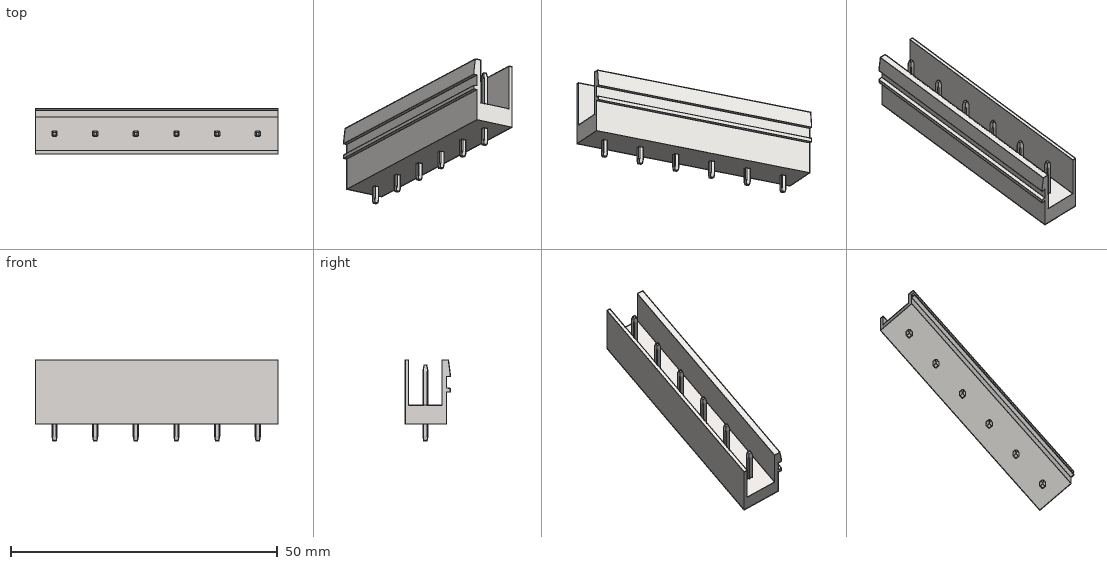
import cadquery as cq

LENGTH = 45.5
HEIGHT = 12.05
BODY_DEPTH = 7.8
FLOOR_HEIGHT = 3.55
FRONT_WALL = 0.7
REAR_WALL = 0.85
REAR_PROJECTION = 0.75

LATCH_HEIGHT = 3.15
LATCH_TOP_PROJECTION = 0.35
LATCH_SLOPE_HEIGHT = 2.8

LEDGE_BOTTOM = 6.0
LEDGE_THICKNESS = 0.7
LEDGE_SLOPE_RISE = 0.15

PIN_COUNT = 6
PIN_ROW_SPAN = 38.1
PIN_PITCH = PIN_ROW_SPAN / (PIN_COUNT - 1)
FIRST_PIN_X = 3.6
PIN_Y = 3.82
PIN_WIDTH = 1.0
PIN_EDGE_CHAMFER = 0.2
PIN_BOTTOM = -3.15
PIN_RECESS = 0.95
PIN_TOP = HEIGHT - PIN_RECESS
TOP_TAPER_LENGTH = 1.27
TOP_TIP_WIDTH = 0.5
BOTTOM_TAPER_LENGTH = 0.9
BOTTOM_TIP_WIDTH = 0.65


def make_pin(x):
    """One contact pin centred on X = x."""
    taper_start_low = PIN_BOTTOM + BOTTOM_TAPER_LENGTH
    taper_start_high = PIN_TOP - TOP_TAPER_LENGTH
    shank = (
        cq.Workplane("XY", origin=(x, PIN_Y, PIN_BOTTOM))
        .rect(PIN_WIDTH, PIN_WIDTH)
        .extrude(PIN_TOP - PIN_BOTTOM)
        .edges("|Z")
        .chamfer(PIN_EDGE_CHAMFER)
    )
    envelope = (
        cq.Workplane("XY", origin=(x, PIN_Y, taper_start_low))
        .rect(PIN_WIDTH, PIN_WIDTH)
        .extrude(taper_start_high - taper_start_low)
        .union(make_taper(x, taper_start_high, TOP_TAPER_LENGTH, TOP_TIP_WIDTH))
        .union(make_taper(x, taper_start_low, -BOTTOM_TAPER_LENGTH, BOTTOM_TIP_WIDTH))
    )
    return shank.intersect(envelope)


def make_taper(x, start_z, length, tip_width):
    """Square frustum from the full pin width to its tip; a negative length points down."""
    return (
        cq.Workplane("XY", origin=(x, PIN_Y, start_z))
        .rect(PIN_WIDTH, PIN_WIDTH)
        .workplane(offset=length)
        .rect(tip_width, tip_width)
        .loft(ruled=True)
    )


def make_housing():
    """The channel with its rear latch and ledge, extruded along its length as one profile."""
    outer_y = BODY_DEPTH + REAR_PROJECTION
    inner_rear_y = BODY_DEPTH - REAR_WALL
    latch_bottom = HEIGHT - LATCH_HEIGHT
    ledge_top = LEDGE_BOTTOM + LEDGE_THICKNESS
    profile = [
        (0, 0),
        (BODY_DEPTH, 0),
        (BODY_DEPTH, LEDGE_BOTTOM),
        (outer_y, LEDGE_BOTTOM),
        (outer_y, ledge_top),
        (BODY_DEPTH, ledge_top + LEDGE_SLOPE_RISE),
        (BODY_DEPTH, latch_bottom),
        (outer_y, latch_bottom),
        (outer_y, HEIGHT - LATCH_SLOPE_HEIGHT),
        (BODY_DEPTH + LATCH_TOP_PROJECTION, HEIGHT),
        (inner_rear_y, HEIGHT),
        (inner_rear_y, FLOOR_HEIGHT),
        (FRONT_WALL, FLOOR_HEIGHT),
        (FRONT_WALL, HEIGHT),
        (0, HEIGHT),
    ]
    return cq.Workplane("YZ").polyline(profile).close().extrude(LENGTH)


pins = [make_pin(FIRST_PIN_X + i * PIN_PITCH) for i in range(PIN_COUNT)]

housing = make_housing()
for pin in pins:
    housing = housing.cut(pin)

result = cq.Compound.makeCompound([housing.val(), *[pin.val() for pin in pins]])